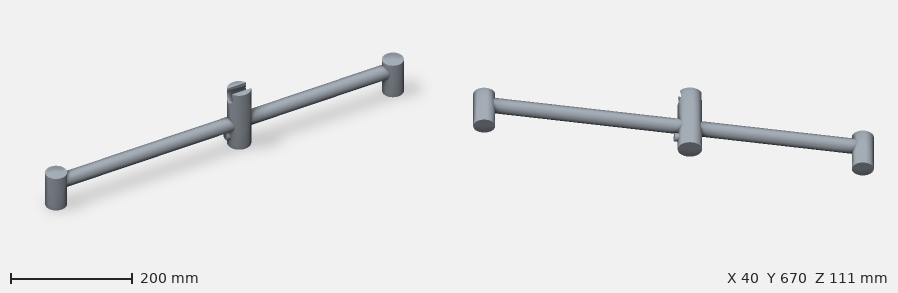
import cadquery as cq

total_length = 670.0
rail_diameter = 25.5
rail_height = 44.0

post_diameter = 36.0
post_height = 65.0
cap_thickness = 2.0
post_offset = (total_length - post_diameter) / 2
post_body_height = post_height - cap_thickness

slider_y = 27.5
slider_diameter = 40.0
slider_height = 111.0
clamp_height = 70.5

cradle_front_diameter = 22.0
cradle_back_diameter = 19.0
cradle_height = 100.5
cradle_mouth_width = 17.5

button_diameter = 14.0
button_height = 21.5
button_reach = 26.0
button_length = 13.0
button_chamfer = 1.0


def upright_cylinder(diameter, bottom, top, y):
    return cq.Workplane("XY", origin=(0, y, bottom)).circle(diameter / 2).extrude(top - bottom)


def cylinder_along_y(diameter, start_y, end_y, z):
    """Horizontal cylinder on the X = 0 plane, between two Y positions."""
    plane = cq.Workplane("XZ", origin=(0, start_y, z))
    return plane.circle(diameter / 2).extrude(start_y - end_y)


def make_rail():
    """Round rail ending on the axes of the two posts."""
    return cylinder_along_y(rail_diameter, -post_offset, post_offset, rail_height)


def make_post(y, rail):
    """Upright post with a blind socket for the end of the rail."""
    return upright_cylinder(post_diameter, 0, post_body_height, y).cut(rail)


def make_cap(y):
    return upright_cylinder(post_diameter, post_body_height, post_height, y)


def make_button():
    outer_y = slider_y - button_reach
    button = cylinder_along_y(button_diameter, outer_y, outer_y + button_length, button_height)
    return button.faces("<Y").chamfer(button_chamfer)


def make_clamp(rail, button):
    """Lower slider half, bored for the rail and recessed for the button."""
    return upright_cylinder(slider_diameter, 0, clamp_height, slider_y).cut(rail).cut(button)


def make_holder():
    """Upper slider half with a conical cradle opening upward through a narrower mouth."""
    front_y = slider_y - slider_diameter / 2
    cradle = cq.Workplane(
        cq.Solid.makeCone(
            cradle_front_diameter / 2, cradle_back_diameter / 2, slider_diameter,
            pnt=cq.Vector(0, front_y, cradle_height), dir=cq.Vector(0, 1, 0),
        )
    )
    mouth = cq.Workplane("XY", origin=(0, slider_y, cradle_height)).box(
        cradle_mouth_width, slider_diameter, slider_height - cradle_height, centered=(True, True, False)
    )
    holder = upright_cylinder(slider_diameter, clamp_height, slider_height, slider_y)
    return holder.cut(cradle).cut(mouth)


rail = make_rail()
button = make_button()
clamp = make_clamp(rail, button)
holder = make_holder()

posts_and_caps = []
for post_y in (-post_offset, post_offset):
    posts_and_caps.append(make_post(post_y, rail).val())
    posts_and_caps.append(make_cap(post_y).val())

result = cq.Compound.makeCompound(
    [rail.val(), button.val(), clamp.val(), holder.val(), *posts_and_caps]
)